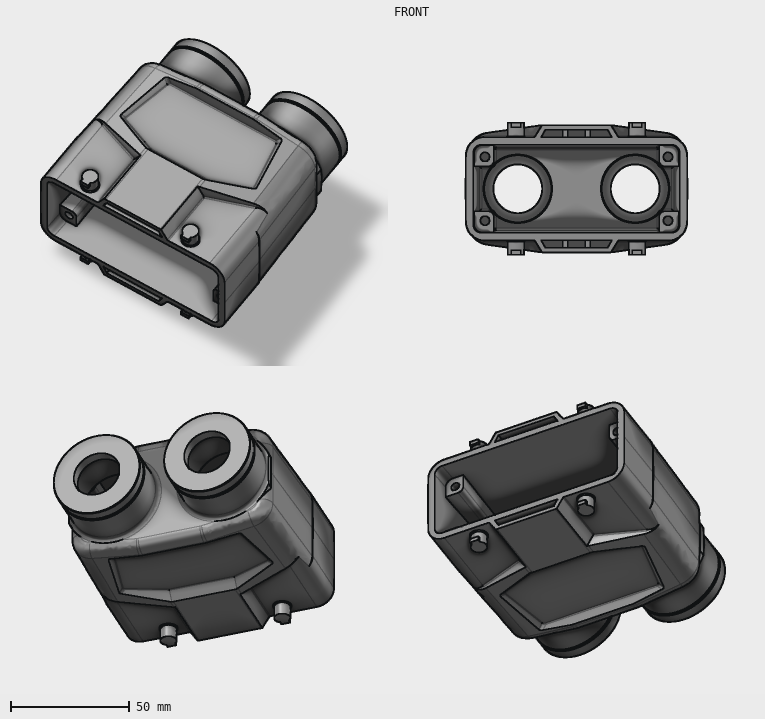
import cadquery as cq
import math

WIDTH = 94.0
SIDE_PEAK = 0.24
RIM_HALF_HEIGHT = 21.8
RIM_CORNER = 7.8
RIM_LENGTH = 26.5

CROWN_HEIGHT = 27.0
CROWN_HALF_FLAT = 14.55
CROWN_SLOPE = 0.14
BODY_LENGTH = 75.95
BODY_FRONT_HALF_WIDTH = 47.6
BODY_BACK_HALF_WIDTH = 44.9
BODY_CORNER = 9.9
BACK_ROUNDING = 5.0
CREASE_ROUNDING = 9.7

TONGUE_FOOT = 17.75
POCKET_BACK = 27.5
POCKET_OUTER = (42.5, 36.5)
POCKET_SHOULDER_X = 44.4
POCKET_TIP_X = 46.0
POCKET_WALL_LEAN = 1.2
POCKET_FOOT_FILLET = 0.7

RECESS_FLOOR_Z = 22.6
RECESS_FLOOR = [(14.6, 35.3), (32.9, 42.5), (27.6, 68.4)]
RECESS_MOUTH = [(14.6, 32), (37.9, 40.3), (31.7, 69.9)]
RECESS_CORNER = 1.5
RECESS_FLOOR_FILLET = 0.6

HOLLOW_FOOT = 14.9
HOLLOW_TOP = 13.2
HOLLOW_TOP_Z = 24.9
HOLLOW_DEPTH = 21.3
HOLLOW_RIB_SETBACK = 7.8
HOLLOW_RIB_WIDTH = 2.1
HOLLOW_RIB_X = 4.8

CAVITY_MOUTH = (43.65, 18.6)
CAVITY_END = (41.0, 17.5)
CAVITY_CORNER = 3.5
CAVITY_DEPTH = 72.75
CAVITY_FLOOR_FILLET = 1

POST_START = 9.2
POST_INNER = (34.9, 9.5)
POST_ROUNDING = 2.4
SCREW_AT = (38.7, 13.5)
SCREW_RADIUS = 1.9
SCREW_DEPTH = 14.55

LENGTH = 97
TUBE_X = 24.8
TUBE_RADIUS = 19.5
TUBE_BORE = 14.2
TUBE_LIP_BORE = 10.3
TUBE_LIP = 4.85
BORE_CHAMFER = 0.4
TUBE_CHAMFER = 0.3
GROOVE_START = 91.2
GROOVE_WIDTH = 1
GROOVE_DEPTH = 0.3
COVE_RADIUS = 1.9

HEIGHT = 56.0
PIN_X = 25.6
PIN_Y = 5.8
PIN_RADIUS = 3.5
PIN_FLARE = 0.5
PIN_TAB_WIDTH = 4.0
PIN_TAB_REACH = 4.5
PIN_TAB_HEIGHT = 1.9


def xz_plane(y):
    """Plane across the hood at y, with local axes X and Z; a negative extrusion runs toward +Y."""
    return cq.Workplane("XZ", origin=(0, y, 0))


def both_ends(points):
    """Closed outline from points of one half, mirrored in X."""
    return points + [(-x, y) for x, y in reversed(points)]


def four_corners(x, z):
    """The point (x, z) and its mirror images, as (X, Z) pairs."""
    return [(sx * x, sz * z) for sx in (1, -1) for sz in (1, -1)]


def edges_near(body, points):
    """The edges of body whose centres lie nearest to each of the points."""
    selector = cq.selectors.NearestToPointSelector(points[0])
    for point in points[1:]:
        selector = selector + cq.selectors.NearestToPointSelector(point)
    return body.edges(selector)


def mirrored_pair(points):
    return points + [(-x, y, z) for x, y, z in points]


def rim_body(length):
    half = WIDTH / 2
    flank = half - SIDE_PEAK
    upper = both_ends([(half, 0), (flank, RIM_HALF_HEIGHT)])
    lower = [(-flank, -RIM_HALF_HEIGHT), (flank, -RIM_HALF_HEIGHT)]
    body = xz_plane(0).polyline(upper + lower).close().extrude(-length)
    corners = [(x, length / 2, z) for x, z in four_corners(flank, RIM_HALF_HEIGHT)]
    return edges_near(body, corners).fillet(RIM_CORNER)


def crown_outline(half_width):
    flank = half_width - SIDE_PEAK
    shoulder = CROWN_HEIGHT - CROWN_SLOPE * (flank - CROWN_HALF_FLAT)
    quarter = [(flank, shoulder), (CROWN_HALF_FLAT, CROWN_HEIGHT)]
    upper = both_ends([(half_width, 0)] + quarter)
    lower = [(x, -z) for x, z in reversed(both_ends(quarter))]
    return upper + lower


def crowned_body():
    body = (
        xz_plane(0).polyline(crown_outline(BODY_FRONT_HALF_WIDTH)).close()
        .workplane(offset=-BODY_LENGTH).polyline(crown_outline(BODY_BACK_HALF_WIDTH)).close()
        .loft(ruled=True, combine=True)
    )
    middle = BODY_LENGTH / 2
    half_width = (BODY_FRONT_HALF_WIDTH + BODY_BACK_HALF_WIDTH) / 2
    corners = [(x, middle, z) for x, z in four_corners(half_width, RIM_HALF_HEIGHT)]
    body = edges_near(body, corners).fillet(BODY_CORNER)
    creases = [(x, middle, z) for x, z in four_corners(CROWN_HALF_FLAT, CROWN_HEIGHT)]
    body = edges_near(body, creases).fillet(CREASE_ROUNDING)
    return body.faces(">Y").edges().fillet(BACK_ROUNDING)


def plan_loft(low_z, low_points, high_z, high_points):
    return (
        cq.Workplane("XY", origin=(0, 0, low_z)).polyline(low_points).close()
        .workplane(offset=high_z - low_z).polyline(high_points).close()
        .loft(ruled=True, combine=True)
    )


def both_faces(solid):
    return solid.union(solid.mirror("XY"))


def all_quarters(solid):
    pair = solid.union(solid.mirror("YZ"))
    return both_faces(pair)


def pocket_plan(tongue_half_width, wall_shift):
    """Pocket outline, open past the front face: along the tongue, the oblique wall and the flank."""
    front = -1
    outside = WIDTH
    back_x, back_y = POCKET_OUTER
    return [
        (tongue_half_width, front),
        (tongue_half_width, POCKET_BACK),
        (back_x, back_y + wall_shift),
        (POCKET_SHOULDER_X, back_y + wall_shift),
        (POCKET_TIP_X, RIM_LENGTH),
        (outside, RIM_LENGTH),
        (outside, front),
    ]


def pocket_cutter():
    foot = pocket_plan(TONGUE_FOOT, 0)
    brow = pocket_plan(CROWN_HALF_FLAT, POCKET_WALL_LEAN)
    upper = plan_loft(RIM_HALF_HEIGHT, foot, CROWN_HEIGHT, brow)
    lower = cq.Workplane("XY").polyline(foot).close().extrude(RIM_HALF_HEIGHT)
    outside = all_quarters(upper.union(lower)).cut(rim_body(LENGTH))
    flank = cq.Workplane("XY").box(WIDTH, RIM_LENGTH, RIM_HALF_HEIGHT, centered=False)
    return outside.union(all_quarters(flank.translate((TONGUE_FOOT, 0, 0))))


def round_pocket_feet(body):
    """Round the inner edges where the pocket floors meet the tongue and the oblique back walls."""
    back_x, back_y = POCKET_OUTER
    wall_x = (TONGUE_FOOT + back_x) / 2
    wall_y = (POCKET_BACK + back_y) / 2
    feet = [(x, POCKET_BACK / 2, z) for x, z in four_corners(TONGUE_FOOT, RIM_HALF_HEIGHT)]
    feet += [(x, wall_y, z) for x, z in four_corners(wall_x, RIM_HALF_HEIGHT)]
    return edges_near(body, feet).fillet(POCKET_FOOT_FILLET)


def recess_cutter():
    recess = plan_loft(RECESS_FLOOR_Z, both_ends(RECESS_FLOOR), CROWN_HEIGHT, both_ends(RECESS_MOUTH))
    middle_z = (RECESS_FLOOR_Z + CROWN_HEIGHT) / 2
    corners = [
        ((floor[0] + mouth[0]) / 2, (floor[1] + mouth[1]) / 2, middle_z)
        for floor, mouth in zip(RECESS_FLOOR[1:], RECESS_MOUTH[1:])
    ]
    recess = edges_near(recess, mirrored_pair(corners)).fillet(RECESS_CORNER)
    return both_faces(recess.faces("<Z").edges().fillet(RECESS_FLOOR_FILLET))


def hollow_cutter():
    outline = both_ends([(HOLLOW_FOOT, RIM_HALF_HEIGHT), (HOLLOW_TOP, HOLLOW_TOP_Z)])
    hollow = xz_plane(0).polyline(outline).close().extrude(-HOLLOW_DEPTH)
    for x in (HOLLOW_RIB_X, -HOLLOW_RIB_X):
        rib = cq.Workplane("XY").box(HOLLOW_RIB_WIDTH, HOLLOW_DEPTH, HEIGHT, centered=(True, False, True))
        hollow = hollow.cut(rib.translate((x, HOLLOW_RIB_SETBACK, 0)))
    return both_faces(hollow)


def rounded_rectangle(half_size):
    return cq.Sketch().rect(2 * half_size[0], 2 * half_size[1]).vertices().fillet(CAVITY_CORNER)


def corner_posts():
    """Square posts from the cavity floor forward, overlapping the walls they stand against."""
    size_x = WIDTH / 2 - POST_INNER[0]
    size_z = RIM_HALF_HEIGHT - POST_INNER[1]
    post = (
        cq.Workplane("XY")
        .box(size_x, CAVITY_DEPTH, size_z, centered=False)
        .edges("|Y and <X and <Z").fillet(POST_ROUNDING)
        .translate((POST_INNER[0], POST_START, POST_INNER[1]))
    )
    return all_quarters(post)


def cavity_cutter():
    cavity = (
        xz_plane(0)
        .placeSketch(
            rounded_rectangle(CAVITY_MOUTH),
            rounded_rectangle(CAVITY_END).moved(cq.Location(cq.Vector(0, 0, -CAVITY_DEPTH))),
        )
        .loft()
    )
    cavity = cavity.cut(corner_posts())
    return cavity.faces(">Y").edges().fillet(CAVITY_FLOOR_FILLET)


def screw_holes():
    holes = xz_plane(POST_START).pushPoints(four_corners(*SCREW_AT))
    return holes.circle(SCREW_RADIUS).extrude(-SCREW_DEPTH)


def tube(x):
    groove_end = GROOVE_START + GROOVE_WIDTH
    groove_radius = TUBE_RADIUS - GROOVE_DEPTH
    cove_end = BODY_LENGTH + COVE_RADIUS
    bend = COVE_RADIUS * (1 - math.sqrt(0.5))
    profile = (
        cq.Workplane("XY")
        .moveTo(0, CAVITY_DEPTH)
        .lineTo(TUBE_RADIUS + COVE_RADIUS, CAVITY_DEPTH)
        .lineTo(TUBE_RADIUS + COVE_RADIUS, BODY_LENGTH)
        .threePointArc((TUBE_RADIUS + bend, BODY_LENGTH + bend), (TUBE_RADIUS, cove_end))
        .lineTo(TUBE_RADIUS, GROOVE_START)
        .lineTo(groove_radius, GROOVE_START)
        .lineTo(groove_radius, groove_end)
        .lineTo(TUBE_RADIUS, groove_end)
        .lineTo(TUBE_RADIUS, LENGTH - TUBE_CHAMFER)
        .lineTo(TUBE_RADIUS - TUBE_CHAMFER, LENGTH)
        .lineTo(0, LENGTH)
        .close()
    )
    body_width = cq.Workplane("XY").box(2 * BODY_BACK_HALF_WIDTH, 2 * LENGTH, HEIGHT)
    return profile.revolve(360, (0, 0, 0), (0, 1, 0)).translate((x, 0, 0)).intersect(body_width)


def tube_bore(x):
    lip_start = LENGTH - TUBE_LIP
    centre = xz_plane(CAVITY_DEPTH).center(x, 0)
    wide = centre.circle(TUBE_BORE).extrude(CAVITY_DEPTH - lip_start)
    mouth = (
        centre.circle(TUBE_BORE + BORE_CHAMFER)
        .workplane(offset=-BORE_CHAMFER).circle(TUBE_BORE).loft(combine=True)
    )
    return wide.union(mouth).union(centre.circle(TUBE_LIP_BORE).extrude(-LENGTH))


def pin():
    top = HEIGHT / 2
    seat = RIM_HALF_HEIGHT - PIN_FLARE
    shaft = cq.Workplane("XY", origin=(0, 0, seat)).circle(PIN_RADIUS).extrude(top - seat)
    flare = (
        cq.Workplane("XY", origin=(0, 0, RIM_HALF_HEIGHT)).circle(PIN_RADIUS + PIN_FLARE)
        .workplane(offset=PIN_FLARE).circle(PIN_RADIUS).loft(combine=True)
    )
    tab = cq.Workplane("XY").box(PIN_TAB_WIDTH, PIN_TAB_REACH, PIN_TAB_HEIGHT, centered=(True, False, False))
    tab = tab.translate((0, -PIN_TAB_REACH, top - PIN_TAB_HEIGHT))
    return shaft.union(flare).union(tab).translate((PIN_X, PIN_Y, 0))


hood = crowned_body().cut(pocket_cutter())
hood = hood.union(rim_body(RIM_LENGTH))
hood = round_pocket_feet(hood)
hood = hood.cut(recess_cutter())
for tube_x in (TUBE_X, -TUBE_X):
    hood = hood.union(tube(tube_x))
hood = hood.cut(cavity_cutter())
for tube_x in (TUBE_X, -TUBE_X):
    hood = hood.cut(tube_bore(tube_x))
hood = hood.cut(hollow_cutter())
hood = hood.cut(screw_holes())
result = hood.union(all_quarters(pin()))